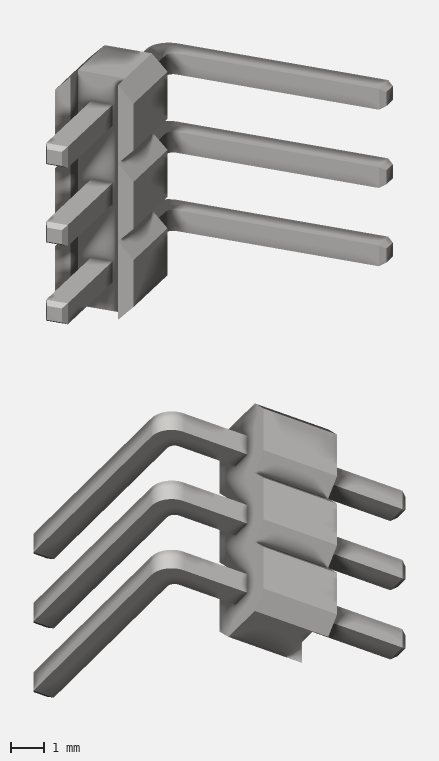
import cadquery as cq


unit_count = 3
stack_height = 7.62
unit_height = stack_height / unit_count
overall_length = 8.62
overall_depth = 8.45

housing_width = 2.54
housing_depth = 2.54
housing_chamfer = 0.51
recess_depth = 0.535
housing_front = 3.0

pin_width = 0.7
pin_height = 0.68
bend_outer_radius = pin_width
bend_inner_radius = 0.25
pin_offset = 0.01
front_tip_length = 0.18
end_tip_length = 0.2
tip_inset = 0.11

pin_left = (housing_width - pin_width) / 2 + pin_offset
pin_right = pin_left + pin_width
leg_inner_y = overall_depth - pin_width


def make_housing():
    """Octagonal block centred on Z = 0, recessed at the front between two cheeks."""
    block = (
        cq.Workplane("XY")
        .box(housing_width, housing_depth, unit_height, centered=(False, False, True))
        .edges("|Y")
        .chamfer(housing_chamfer)
        .translate((0, housing_front, 0))
    )
    recess = (
        cq.Workplane("XY")
        .box(housing_width - 2 * housing_chamfer, recess_depth, unit_height, centered=(False, False, True))
        .translate((housing_chamfer, housing_front, 0))
    )
    return block.cut(recess)


def make_tip(base_plane, length):
    """Four-sided taper that rises from the given plane."""
    return (
        cq.Workplane(base_plane)
        .rect(pin_width, pin_height)
        .workplane(offset=length)
        .rect(pin_width - 2 * tip_inset, pin_height - 2 * tip_inset)
        .loft(ruled=True)
    )


def make_pin():
    """L-shaped pin centred on Z = 0, bent from -Y towards +X, tapered at both ends."""
    shaft_front = front_tip_length
    shaft_end = overall_length - end_tip_length
    shaft = (
        cq.Workplane("XY")
        .moveTo(pin_left, shaft_front)
        .lineTo(pin_right, shaft_front)
        .lineTo(pin_right, leg_inner_y - bend_inner_radius)
        .radiusArc((pin_right + bend_inner_radius, leg_inner_y), bend_inner_radius)
        .lineTo(shaft_end, leg_inner_y)
        .lineTo(shaft_end, overall_depth)
        .lineTo(pin_left + bend_outer_radius, overall_depth)
        .radiusArc((pin_left, overall_depth - bend_outer_radius), -bend_outer_radius)
        .close()
        .extrude(pin_height / 2, both=True)
    )
    front_plane = cq.Plane(
        origin=(pin_left + pin_width / 2, shaft_front, 0), xDir=(1, 0, 0), normal=(0, -1, 0)
    )
    end_plane = cq.Plane(
        origin=(shaft_end, overall_depth - pin_width / 2, 0), xDir=(0, 1, 0), normal=(1, 0, 0)
    )
    front_tip = make_tip(front_plane, front_tip_length)
    end_tip = make_tip(end_plane, end_tip_length)
    return shaft.union(front_tip).union(end_tip)


def make_header_unit():
    """One housing block and its pin as a single solid."""
    return make_housing().union(make_pin())


header_units = []
for index in range(unit_count):
    centre_z = (index + 0.5) * unit_height
    header_units.append(make_header_unit().translate((0, 0, centre_z)).solids().val())

result = cq.Compound.makeCompound(header_units)